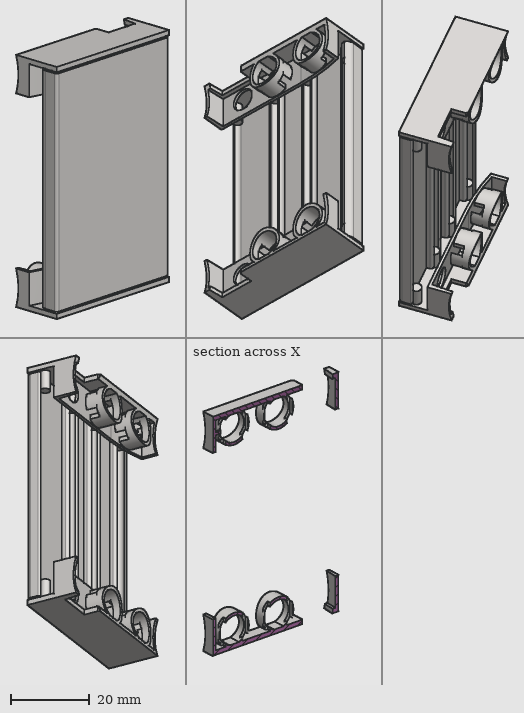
import cadquery as cq
import math

DEPTH = 14.3
WIDTH = 41.45
HEIGHT = 67.5

CAP_HEIGHT = 10.3
FLOOR = 1.4
SADDLE_DEPTH = 0.8
WEB_BACK = 6.55
WEB_THICKNESS = 0.8
WEB_BEND_Y = 13.85
WEB_END_BACK = 4.65
SIDE_WALL = 1.0
FAR_WALL_TIP = 0.9
FAR_WALL_ROOT = 1.3

NOTCH_DEPTH = 4.45
NOTCH_START = 29.5
NOTCH_END_TIP = 39.75
NOTCH_END_ROOT = 39.3
NOTCH_CHAMFER = 0.55

BOSS_Z = CAP_HEIGHT / 2
BOSS_YS = (21.7, 7.0)
BOSS_OUTER = 10.0
BOSS_BORE = 8.1
SLOT_INNER = 2.8
SLOT_OUTER = 4.45
SLOT_DEPTH = 2.9
WEB_HOLE = 6.2
WEB_HOLE_Y = 33.5

RIB_HEIGHT = 0.95
RIB_FRONT = 3.4

PEG = 2.7
PEG_X = 10.25
PEG_TOP = 6.6
CORNER_RADIUS = 2.0
MIDDLE_YS = (26.25, 15.2)
NEAR_Y = CORNER_RADIUS
FAR_Y = WIDTH - CORNER_RADIUS
PEG_YS = (NEAR_Y, *MIDDLE_YS, FAR_Y)

PANEL_GAP = 0.5
PLATE_FRONT = PEG_X + PEG / 2
BACK_ROUND = 0.8
SHORT_LIP_X = 9.85
CHANNEL_HALF = 2.3
LIP_ROUND = 0.8
MIDDLE_RADIUS = 2.2
MIDDLE_LIP_ANGLE = 25.0
NEAR_LIP_ANGLE = 68.0
HOOK_LIP_X = 10.7
HOOK_ROUND = 0.5

PANEL_BOTTOM = FLOOR + PANEL_GAP
PANEL_LENGTH = HEIGHT - 2 * PANEL_BOTTOM
MARGIN = 0.7


def block(x0, x1, y0, y1, z0, z1):
    return cq.Workplane("XY").box(x1 - x0, y1 - y0, z1 - z0, centered=False).translate((x0, y0, z0))


def rod_x(diameter, y, z, x0, x1):
    return cq.Workplane("YZ", origin=(x0, y, z)).circle(diameter / 2).extrude(x1 - x0)


def rod_z(diameter, x, y, z0, z1):
    return cq.Workplane("XY", origin=(x, y, z0)).circle(diameter / 2).extrude(z1 - z0)


def bend_radius():
    drop = WEB_BACK - WEB_END_BACK
    return (WEB_BEND_Y ** 2 + drop ** 2) / (2 * drop)


def web_front_region():
    """Everything in front of the rear face of the web."""
    radius = bend_radius()
    half = math.asin(WEB_BEND_Y / radius) / 2
    middle = (WEB_BACK - radius * (1 - math.cos(half)), WEB_BEND_Y - radius * math.sin(half))
    return (
        cq.Workplane("XY").moveTo(0, WIDTH).lineTo(WEB_BACK, WIDTH).lineTo(WEB_BACK, WEB_BEND_Y)
        .threePointArc(middle, (WEB_END_BACK, 0)).lineTo(0, 0).close().extrude(CAP_HEIGHT)
    )


def cap_cavity():
    """Space between the two walls in front of the web, above the floor."""
    radius = bend_radius() - WEB_THICKNESS
    front = WEB_BACK - WEB_THICKNESS
    full = math.asin((WEB_BEND_Y - SIDE_WALL) / radius)
    middle = (front - radius * (1 - math.cos(full / 2)), WEB_BEND_Y - radius * math.sin(full / 2))
    end = (front - radius * (1 - math.cos(full)), SIDE_WALL)
    return (
        cq.Workplane("XY", origin=(0, 0, FLOOR)).moveTo(0, WIDTH - FAR_WALL_TIP)
        .lineTo(front, WIDTH - FAR_WALL_ROOT).lineTo(front, WEB_BEND_Y)
        .threePointArc(middle, end).lineTo(0, SIDE_WALL).close().extrude(CAP_HEIGHT)
    )


def floor_notch():
    return (
        cq.Workplane("XY").polyline([
            (0, NOTCH_START - NOTCH_CHAMFER), (NOTCH_CHAMFER, NOTCH_START), (NOTCH_DEPTH, NOTCH_START),
            (NOTCH_DEPTH, NOTCH_END_ROOT), (0, NOTCH_END_TIP),
        ]).close().extrude(FLOOR)
    )


def saddle():
    half = CAP_HEIGHT / 2
    radius = (half ** 2 + SADDLE_DEPTH ** 2) / (2 * SADDLE_DEPTH)
    return (
        cq.Workplane("XZ", origin=(SADDLE_DEPTH - radius, 0, half)).circle(radius).extrude(-WIDTH)
    )


def end_cap(with_rib=False):
    web_front = WEB_BACK - WEB_THICKNESS
    room = cap_cavity()
    cap = web_front_region().cut(room)
    cap = cap.union(block(0, DEPTH, 0, WIDTH, 0, FLOOR)).cut(floor_notch())
    for y in BOSS_YS:
        boss = rod_x(BOSS_OUTER, y, BOSS_Z, 0, web_front)
        boss = boss.cut(rod_x(BOSS_BORE, y, BOSS_Z, 0, web_front))
        for y0, y1 in ((y - SLOT_OUTER, y - SLOT_INNER), (y + SLOT_INNER, y + SLOT_OUTER)):
            boss = boss.cut(block(web_front - SLOT_DEPTH, web_front, y0, y1, 0, CAP_HEIGHT))
        cap = cap.union(boss.intersect(room))
    if with_rib:
        boss_edge = BOSS_YS[-1] - BOSS_OUTER / 2
        rib = block(RIB_FRONT, web_front, 0, boss_edge + MARGIN, BOSS_Z - RIB_HEIGHT / 2, BOSS_Z + RIB_HEIGHT / 2)
        rib = rib.cut(rod_x(BOSS_BORE, BOSS_YS[-1], BOSS_Z, 0, web_front))
        cap = cap.union(rib.intersect(room))
    cap = cap.cut(rod_x(WEB_HOLE, WEB_HOLE_Y, BOSS_Z, web_front - MARGIN, WEB_BACK + MARGIN))
    for y in PEG_YS:
        cap = cap.union(rod_z(PEG, PEG_X, y, 0, PEG_TOP))
    return cap.cut(saddle())


def panel_block(x0, x1, y0, y1):
    return block(x0, x1, y0, y1, PANEL_BOTTOM, PANEL_BOTTOM + PANEL_LENGTH)


def panel_rod(diameter, y):
    rod = rod_z(diameter, PEG_X, y, PANEL_BOTTOM, PANEL_BOTTOM + PANEL_LENGTH)
    return rod.rotate((PEG_X, y, 0), (PEG_X, y, 1), 180)


def channel(y, lip_radius, lip_angle):
    """Open channel: a short rounded lip towards +Y, and towards -Y a round lip that ends
    lip_angle degrees forward of the -Y direction."""
    short_lip = panel_block(SHORT_LIP_X, PLATE_FRONT, y, y + CHANNEL_HALF)
    short_lip = short_lip.edges("|Z and <X and >Y").fillet(LIP_ROUND)
    reach = 2 * lip_radius
    angle = math.radians(lip_angle)
    opening = (
        cq.Workplane("XY", origin=(PEG_X, y, PANEL_BOTTOM)).moveTo(0, 0)
        .lineTo(-reach * math.sin(angle), -reach * math.cos(angle)).lineTo(-reach, 0).close()
        .extrude(PANEL_LENGTH)
    )
    round_lip = panel_rod(2 * lip_radius, y).intersect(panel_block(0, DEPTH, y - lip_radius, y)).cut(opening)
    return short_lip.union(round_lip).cut(panel_block(0, PEG_X, y, y + PEG / 2))


def near_side_wall():
    return panel_block(PEG_X, PLATE_FRONT, 0, NEAR_Y)


def far_hook():
    hook = panel_block(HOOK_LIP_X, PLATE_FRONT, FAR_Y, WIDTH)
    return hook.edges("|Z and <X and >Y").fillet(HOOK_ROUND)


def panel():
    plate = panel_block(PLATE_FRONT, DEPTH, 0, WIDTH).edges("|Z and >X").fillet(BACK_ROUND)
    for y in MIDDLE_YS:
        plate = plate.union(channel(y, MIDDLE_RADIUS, MIDDLE_LIP_ANGLE))
    plate = plate.union(channel(NEAR_Y, CORNER_RADIUS, NEAR_LIP_ANGLE)).union(near_side_wall())
    plate = plate.union(far_hook())
    for y in PEG_YS:
        plate = plate.cut(panel_rod(PEG, y))
    return plate


bottom_cap = end_cap()
top_cap = end_cap(with_rib=True).mirror("XY").translate((0, 0, HEIGHT))
back_panel = panel()

result = cq.Compound.makeCompound([bottom_cap.val(), top_cap.val(), back_panel.val()])